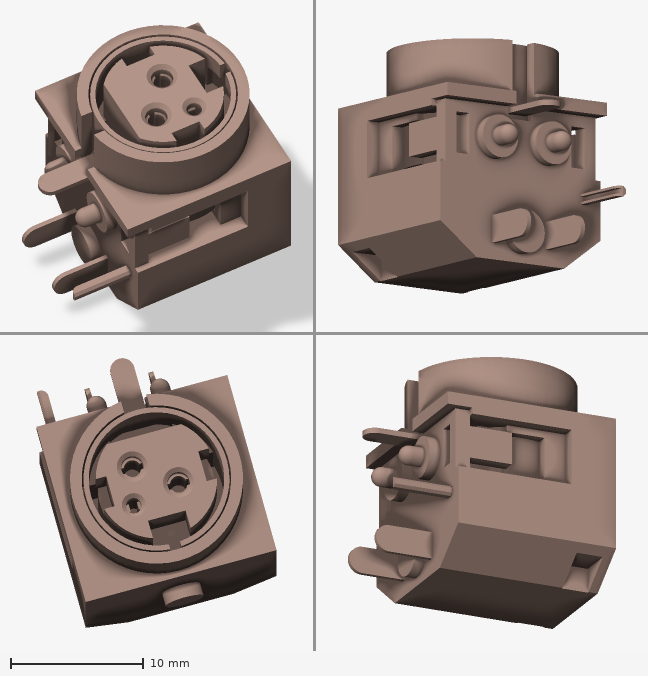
import cadquery as cq
import math

half_width = 7.5
half_depth = 7.0
height = 17.0
flange_bottom = 12.0
flange_top = 13.0

split_y = 3.3
cover_front_y = -6.13
ledge_z = 7.1
chamfer_height = 2.5
bottom_half_width = 4.1

ring_radius = 6.55
bore_radius = 5.66
shield_radius = 5.53
shield_inner_radius = 5.13
shield_bottom = 7.8
shield_top = 16.92
shield_slit_half = 0.44
core_radius = 4.6
core_flat_y = -3.55
core_floor_z = flange_top
shield_window_half = 1.87
shield_window_top = 15.3
key_notch_half = 1.48
key_notch_y = 2.95
side_pocket_x = 3.62
side_pocket_half = 1.2
front_pocket_half = 2.46

window_top = 11.5
window_plane_x = 6.38
wall_inner_y = -4.96
side_slot_half = 1.55
side_slot_radius = 4.45
side_slot_top = 10.96
arm_inner_x = 5.89
rib_x = 5.35
rib_rear_slope_y = -1.8
rib_rear_y = -2.6
rib_front_y = -3.46
rib_step_x = 4.7
rib_step_y = -3.75
rib_front_x = 3.9

boss_radius = 1.5
boss_z = 7.97
boss_end_y = 8.0
foot_notch_y = (4.07, 6.25)
foot_notch_top = 1.93
foot_notch_x = 3.98

wall_half = 7.02
wall_top = 11.93
arm_bottom = 8.12
arm_top = 10.68
arm_tip_y = -1.45
front_slot_inner_x = 4.77
front_slot_outer_x = 6.02
front_slot_bottom = 7.85
front_slot_top = 11.02
tail_notch_half = 1.12
tail_notch_bottom = 11.0

standoff_radius = 1.65
peg_radius = 0.75
peg_x = 2.5
peg_z = 9.39
peg_straight_end_y = -8.0
low_standoff_z = 2.33

tail_half = 0.93
tail_slot_half = 1.0
tail_bottom = 11.47
tail_top = 11.89
tail_tip_y = -10.6
tail_bend_radius = 0.28

socket_depth = 0.81
countersink_depth = 0.32
socket_bore_depth = 3.79
main_post_radius = 0.85
main_bore_radius = 0.65
main_slit_half = 0.23
blade_thickness = 0.36
blade_width = 2.14
main_sockets = [
    (-1.53, 0.72, -peg_x, -10.7),
    (1.51, -1.38, peg_x, -10.75),
]
signal_post_radius = 0.59
signal_x = 2.2
signal_y = 1.5
prong_gap_half = 0.32
prong_half_depth = 0.3
signal_pin_z = 5.49
signal_pin_height = 0.8
signal_pin_x = (5.62, 6.38)
signal_pin_span_z = (signal_pin_z - signal_pin_height / 2, signal_pin_z + signal_pin_height / 2)
signal_channel_floor_x = 6.0
signal_channel_half = 0.2
signal_edge_chamfer = 0.2
signal_tip_y = -10.92
signal_tip_length = 0.66
signal_tip_width = 0.5


def block(x, y, z):
    """Box spanning the given (low, high) ranges."""
    size = (x[1] - x[0], y[1] - y[0], z[1] - z[0])
    return cq.Workplane("XY").box(*size, centered=False).translate((x[0], y[0], z[0]))


def rod(radius, bottom, top, x=0, y=0):
    """Vertical cylinder."""
    return cq.Workplane("XY", origin=(x, y, bottom)).circle(radius).extrude(top - bottom)


def rod_along_y(radius, x, z, y_front, y_back):
    """Cylinder parallel to Y."""
    return cq.Workplane("XZ", origin=(x, y_back, z)).circle(radius).extrude(y_back - y_front)


def both_sides(shape):
    """The shape together with its mirror image in X."""
    return shape.union(shape.mirror("YZ"))


def body_section(y_front, y_back):
    """Full-height slice of the body with sloped lower corners."""
    profile = [
        (-bottom_half_width, 0), (bottom_half_width, 0), (half_width, chamfer_height),
        (half_width, flange_bottom), (-half_width, flange_bottom), (-half_width, chamfer_height),
    ]
    return cq.Workplane("XZ", origin=(0, y_back, 0)).polyline(profile).close().extrude(y_back - y_front)


def side_window():
    """Recess in the -X side, stepped around the rib behind the latch arm."""
    edge = [
        (-half_width, split_y), (-window_plane_x, split_y), (-window_plane_x, -side_slot_half),
        (-arm_inner_x, -side_slot_half), (-arm_inner_x, rib_rear_slope_y), (-rib_x, rib_rear_y),
        (-rib_x, rib_front_y), (-rib_step_x, rib_step_y), (-rib_front_x, wall_inner_y),
        (-half_width, wall_inner_y),
    ]
    return (
        cq.Workplane("XY", origin=(0, 0, ledge_z)).polyline(edge).close().extrude(window_top - ledge_z)
    )


def core_outline_cut():
    """Space between the core and the shield, with the keying notches of the core."""
    depth = (core_floor_z, height)
    core = rod(core_radius, *depth)
    core = core.cut(block((-core_radius, core_radius), (-core_radius, core_flat_y), depth))
    core = core.cut(block((-key_notch_half, key_notch_half), (key_notch_y, core_radius), depth))
    pocket = block((-core_radius, -side_pocket_x), (-side_pocket_half, side_pocket_half), depth)
    core = core.cut(both_sides(pocket))
    return rod(bore_radius, *depth).cut(core)


def shield_groove():
    """Annular groove for the shield, interrupted by a key filling the shield's slit."""
    groove = rod(bore_radius, shield_bottom, height).cut(rod(shield_inner_radius, shield_bottom, height))
    key = block((-shield_slit_half, shield_slit_half), (0, bore_radius), (shield_bottom, core_floor_z))
    return groove.cut(key)


def side_slots():
    """Slots beside the core, open to the windows and to the space above."""
    y = (-side_slot_half, side_slot_half)
    low = block((-half_width, half_width), y, (ledge_z, side_slot_top))
    high = rod(shield_inner_radius, side_slot_top, core_floor_z).intersect(
        block((-half_width, half_width), y, (side_slot_top, core_floor_z))
    )
    return low.union(high).cut(rod(side_slot_radius, ledge_z, height))


def front_pocket():
    """Recess in the floor in front of the core's flat side."""
    area = block(
        (-front_pocket_half, front_pocket_half), (-bore_radius, core_flat_y), (flange_bottom, core_floor_z)
    )
    return area.intersect(rod(shield_inner_radius, flange_bottom, core_floor_z))


def socket_hole(x, y, radius):
    """Countersunk hole through the core."""
    hole = rod(radius, ledge_z, height, x, y)
    countersink = (
        cq.Workplane("XY", origin=(x, y, height - countersink_depth)).circle(radius)
        .workplane(offset=countersink_depth).circle(radius + countersink_depth).loft()
    )
    return hole.union(countersink)


def make_housing():
    body = body_section(split_y, half_depth)
    body = body.union(
        block((-half_width, half_width), (wall_inner_y, split_y), (ledge_z, flange_bottom))
    )
    flange = block((-half_width, half_width), (-half_depth, half_depth), (flange_bottom, flange_top))
    body = body.union(flange).union(rod(ring_radius, flange_top, height))
    body = body.union(rod_along_y(boss_radius, 0, boss_z, half_depth, boss_end_y))
    body = body.cut(both_sides(side_window()))
    body = body.cut(core_outline_cut()).cut(shield_groove()).cut(side_slots()).cut(front_pocket())
    tail_slot = block(
        (-tail_slot_half, tail_slot_half), (-half_depth, -shield_inner_radius), (flange_bottom, height)
    )
    body = body.cut(tail_slot)
    foot_notch = block((-half_width, -foot_notch_x), foot_notch_y, (0, foot_notch_top))
    body = body.cut(both_sides(foot_notch))
    for x, y, _, _ in main_sockets:
        body = body.cut(socket_hole(x, y, main_post_radius))
    return body.cut(socket_hole(signal_x, signal_y, signal_post_radius))


def locating_peg():
    """Standoff with a round-ended peg on the -X side."""
    standoff = rod_along_y(standoff_radius, -peg_x, peg_z, -half_depth, cover_front_y)
    peg = rod_along_y(peg_radius, -peg_x, peg_z, peg_straight_end_y, cover_front_y)
    ball = cq.Workplane("XY").sphere(peg_radius).translate((-peg_x, peg_straight_end_y, peg_z))
    return standoff.union(peg).union(ball)


def make_cover(contacts):
    lower = body_section(cover_front_y, split_y).intersect(
        block((-half_width, half_width), (cover_front_y, split_y), (0, ledge_z))
    )
    wall_y = (cover_front_y, wall_inner_y)
    wall = block((-wall_half, wall_half), wall_y, (ledge_z, wall_top))
    wall = wall.cut(rod(bore_radius, ledge_z, wall_top))
    wall = wall.cut(block((-tail_notch_half, tail_notch_half), wall_y, (tail_notch_bottom, wall_top)))
    arm = block((-wall_half, -arm_inner_x), (wall_inner_y, arm_tip_y), (arm_bottom, arm_top))
    slot = block(
        (-front_slot_outer_x, -front_slot_inner_x), wall_y, (front_slot_bottom, front_slot_top)
    )
    wall = wall.cut(both_sides(slot))
    body = lower.union(wall).union(both_sides(arm)).union(both_sides(locating_peg()))
    body = body.union(rod_along_y(standoff_radius, 0, low_standoff_z, -half_depth, cover_front_y))
    for contact in contacts:
        body = body.cut(contact)
    pin_hole_y = (cover_front_y, signal_y - prong_half_depth)
    return body.cut(block(signal_pin_x, pin_hole_y, signal_pin_span_z))


def make_shield():
    tube = rod(shield_radius, shield_bottom, shield_top)
    straight_end_y = tail_tip_y + tail_half
    tail = block((-tail_half, tail_half), (straight_end_y, 0), (tail_bottom, tail_top))
    tail = tail.union(rod(tail_half, tail_bottom, tail_top, 0, straight_end_y))
    bend_y = -shield_radius - tail_bend_radius
    bend = block((-tail_half, tail_half), (bend_y, 0), (tail_top, tail_top + tail_bend_radius))
    bend_round = cq.Workplane("YZ", origin=(-tail_half, bend_y, tail_top + tail_bend_radius))
    bend = bend.cut(bend_round.circle(tail_bend_radius).extrude(2 * tail_half))
    bore = rod(shield_inner_radius, shield_bottom, shield_top)
    slit = block((-shield_slit_half, shield_slit_half), (0, shield_radius), (shield_bottom, shield_top))
    rear_window = block(
        (-shield_window_half, shield_window_half), (0, shield_radius), (core_floor_z, shield_window_top)
    )
    return tube.union(tail).union(bend).cut(bore).cut(slit).cut(rear_window)


def make_main_contact(x, y, blade_x, tip_y):
    """Slit round socket above a flat blade that leaves through the front."""
    top = height - socket_depth
    blade_bottom = low_standoff_z - blade_width / 2
    blade_top = low_standoff_z + blade_width / 2
    bore_bottom = top - socket_bore_depth
    post = rod(main_post_radius, blade_bottom, top, x, y).cut(rod(main_bore_radius, bore_bottom, top, x, y))
    slit = block(
        (x - main_post_radius, x + main_post_radius), (y - main_slit_half, y + main_slit_half),
        (bore_bottom, top),
    )
    half_thickness = blade_thickness / 2
    end_radius = blade_width / 2
    straight_end_y = tip_y + end_radius
    blade_x_range = (blade_x - half_thickness, blade_x + half_thickness)
    blade = block(blade_x_range, (straight_end_y, y + half_thickness), (blade_bottom, blade_top))
    tip = cq.Workplane("YZ", origin=(blade_x_range[0], straight_end_y, low_standoff_z))
    tip = tip.circle(end_radius).extrude(blade_thickness)
    foot = block(
        (min(x, blade_x), max(x, blade_x)), (y - half_thickness, y + half_thickness),
        (blade_bottom, blade_top),
    )
    return post.cut(slit).union(foot).union(blade).union(tip)


def make_signal_contact():
    """Two-pronged socket with a channel-shaped pin that leaves through the front."""
    top = height - socket_depth
    prong_bottom = top - socket_bore_depth
    post = rod(signal_post_radius, signal_pin_span_z[0], prong_bottom, signal_x, signal_y)
    prongs = rod(signal_post_radius, prong_bottom, top, signal_x, signal_y)
    prong_y = (signal_y - prong_half_depth, signal_y + prong_half_depth)
    prong_x = (signal_x - signal_post_radius, signal_x + signal_post_radius)
    prongs = prongs.intersect(block(prong_x, prong_y, (prong_bottom, top)))
    gap_x = (signal_x - prong_gap_half, signal_x + prong_gap_half)
    prongs = prongs.cut(block(gap_x, prong_y, (prong_bottom, top)))

    left, right = signal_pin_x
    pin = block(signal_pin_x, (signal_tip_y, prong_y[1]), signal_pin_span_z)
    pin = pin.edges("|Y and >X").chamfer(signal_edge_chamfer)
    channel_z = (signal_pin_z - signal_channel_half, signal_pin_z + signal_channel_half)
    channel = block((left, signal_channel_floor_x), (signal_tip_y, cover_front_y), channel_z)
    arc_x = left + signal_tip_width
    arc_y = signal_tip_y + signal_tip_length
    arc_middle = (
        arc_x - signal_tip_width * math.cos(math.pi / 4),
        arc_y - signal_tip_length * math.sin(math.pi / 4),
    )
    corner = (
        cq.Workplane("XY", origin=(0, 0, signal_pin_span_z[0])).moveTo(left, signal_tip_y)
        .lineTo(arc_x, signal_tip_y).threePointArc(arc_middle, (left, arc_y)).close()
        .extrude(signal_pin_height)
    )
    bridge = block((signal_x, right - signal_edge_chamfer), prong_y, signal_pin_span_z)
    return post.union(prongs).union(bridge).union(pin.cut(channel).cut(corner))


main_contacts = [make_main_contact(*socket) for socket in main_sockets]
signal_contact = make_signal_contact()
housing = make_housing()
cover = make_cover([*main_contacts, signal_contact])
shield = make_shield()

result = cq.Compound.makeCompound([
    housing.val(),
    cover.val(),
    shield.val(),
    *[contact.val() for contact in main_contacts],
    signal_contact.val(),
])